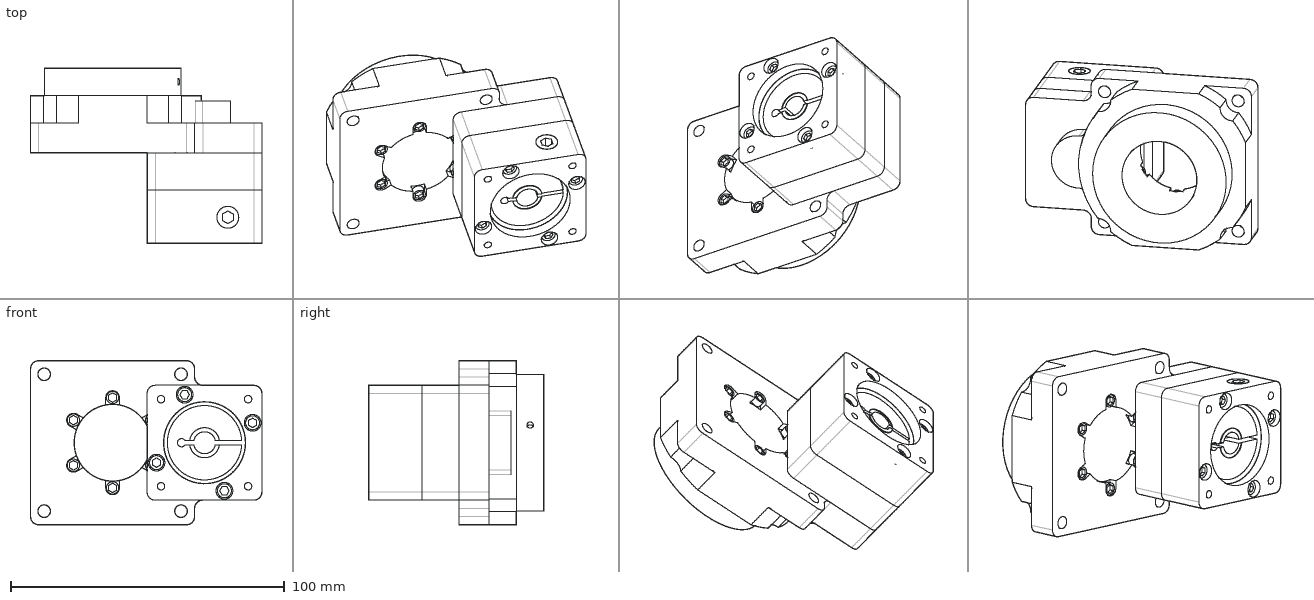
import cadquery as cq
import math


plate_size = 60.0
plate_thickness = 11.0
plate_half = plate_size / 2
corner_radius = 3.0
shoulder_radius = 32.5
shoulder_height = 10.0
table_radius = 25.0
table_height = 10.0
bore_radius = 14.0
shoulder_back = plate_thickness + shoulder_height
table_back = shoulder_back + table_height

mount_hole_offset = 25.0
mount_hole_diameter = 4.5
mount_relief_radius = 4.5

pin_hole_diameter = 2.3
pin_hole_depth = 4.0
pin_hole_angle = 15.0

motor_axis_x = 33.6
motor_size = 42.0
spacer_length = 13.5
clamp_length = 19.5
clamp_front = -(spacer_length + clamp_length)
gear_cover_x = 33.1
gear_cover_radius = 10.0
gear_cover_fillet = 2.5
gear_cover_height = 8.0

pilot_radius = 15.0
pilot_depth = 4.0
hub_bore_radius = 14.9
hub_radius = 13.6
hub_recess = 4.8
hub_gap_depth = 14.0
shaft_radius = 4.0
sleeve_radius = 5.5
sleeve_projection = 0.3
clamp_slot_width = 1.5
keyhole_radius = 1.5
keyhole_offset = 8.4

tap_circle_radius = 22.5
tap_start_angle = 45.0
tap_diameter = 2.7
tap_depth = 8.0
drill_tip_angle = 118.0

plug_offset = 8.5
plug_radius = 4.0
plug_recess = 0.1
plug_from_front = 9.5
plug_hex_flats = 4.0
plug_hex_depth = 4.0

table_screw_count = 6
table_screw_circle = 16.5
table_screw_start_angle = 90.0
table_screw_pocket_radius = 2.5
table_screw_pocket_depth = 3.0
table_screw_head_radius = 2.25
table_screw_head_height = 2.5
table_screw_hex_flats = 3.0
table_screw_hex_turn = 90.0

clamp_screw_count = 4
quarter_turn = 360 / clamp_screw_count
clamp_screw_circle = 19.0
clamp_screw_start_angle = 22.5
clamp_screw_pocket_radius = 3.05
clamp_screw_pocket_depth = 1.9
clamp_screw_head_radius = 2.55
clamp_screw_head_height = 3.0
clamp_screw_hex_flats = 3.0
socket_depth = 1.5


def face_at(y):
    """Sketch plane facing -Y, with local x along X and local y along Z."""
    return cq.Workplane("XZ", origin=(0, y, 0))


def disc(x, z, radius, front, depth):
    """Cylinder whose front face is at Y = front and that runs depth towards +Y."""
    return face_at(front).center(x, z).circle(radius).extrude(-depth)


def hex_socket(x, z, flats, front, depth, turn):
    """Hexagonal prism running towards +Y, turned about its axis by an angle in degrees."""
    corners = flats / math.cos(math.pi / 6)
    hexagon = face_at(front).center(x, z).polygon(6, corners).extrude(-depth)
    return hexagon.rotate((x, 0, z), (x, 1, z), turn)


def on_circle(radius, angle):
    """X and Z offsets of a point on a circle, the angle in degrees from +X towards +Z."""
    return radius * math.cos(math.radians(angle)), radius * math.sin(math.radians(angle))


def rounded_square_block(front, length):
    """Block with rounded corners centred on the motor axis."""
    block = face_at(front).center(motor_axis_x, 0).rect(motor_size, motor_size).extrude(-length)
    return block.edges("|Y").fillet(corner_radius)


def make_plate():
    """Square plate with an arm for the motor on its +X side."""
    square = face_at(0).rect(plate_size, plate_size).extrude(-plate_thickness)
    arm_end = motor_axis_x + motor_size / 2
    arm = face_at(0).center(arm_end / 2, 0).rect(arm_end, motor_size).extrude(-plate_thickness)
    plate = square.union(arm)
    return plate.edges("|Y").fillet(corner_radius)


def make_shoulder():
    """Round shoulder trimmed to the plate, with reliefs behind the mounting holes."""
    shoulder = disc(0, 0, shoulder_radius, plate_thickness, shoulder_height)
    trim_length = plate_half + shoulder_radius
    trim = (
        face_at(plate_thickness)
        .center(trim_length / 2 - plate_half, 0)
        .rect(trim_length, plate_size)
        .extrude(-shoulder_height)
    )
    reliefs = (
        face_at(plate_thickness)
        .rect(2 * mount_hole_offset, 2 * mount_hole_offset, forConstruction=True)
        .vertices()
        .circle(mount_relief_radius)
        .extrude(-shoulder_height)
    )
    return shoulder.intersect(trim).cut(reliefs)


def make_gear_cover():
    """Round cover behind the motor axis, blended into the shoulder by concave fillets."""
    core = disc(0, 0, shoulder_radius, plate_thickness, gear_cover_height)
    cover = disc(gear_cover_x, 0, gear_cover_radius, plate_thickness, gear_cover_height)
    joint = cq.selectors.BoxSelector(
        (table_radius, plate_thickness, -shoulder_radius),
        (gear_cover_x, shoulder_back, shoulder_radius),
    )
    blended = core.union(cover).edges("|Y").edges(joint).fillet(gear_cover_fillet)
    beside_table = (
        face_at(plate_thickness)
        .center(table_radius + plate_half, 0)
        .rect(plate_size, plate_half)
        .extrude(-gear_cover_height)
    )
    return blended.intersect(beside_table)


def cut_table_screw(body, angle):
    """Pocket that opens into the bore, with a socket-head screw standing in it."""
    x, z = on_circle(table_screw_circle, angle)
    width = 2 * table_screw_pocket_radius
    pocket = disc(table_screw_circle, 0, table_screw_pocket_radius, 0, table_screw_pocket_depth)
    mouth = (
        face_at(0)
        .center(table_screw_circle / 2, 0)
        .rect(table_screw_circle, width)
        .extrude(-table_screw_pocket_depth)
    )
    pocket = pocket.union(mouth).rotate((0, 0, 0), (0, 1, 0), -angle)
    head_front = table_screw_pocket_depth - table_screw_head_height
    head = disc(x, z, table_screw_head_radius, head_front, table_screw_head_height)
    socket = hex_socket(x, z, table_screw_hex_flats, head_front, socket_depth, table_screw_hex_turn)
    return body.cut(pocket.cut(head)).cut(socket)


def make_housing():
    """Housing with its hollow table, mounting holes, table screws and radial pin hole."""
    housing = make_plate().union(make_shoulder()).union(make_gear_cover())
    housing = housing.union(disc(0, 0, table_radius, shoulder_back, table_height))
    housing = housing.cut(disc(0, 0, bore_radius, 0, table_back))
    mount_holes = (
        face_at(0)
        .rect(2 * mount_hole_offset, 2 * mount_hole_offset, forConstruction=True)
        .vertices()
        .circle(mount_hole_diameter / 2)
        .extrude(-plate_thickness)
    )
    housing = housing.cut(mount_holes)
    for i in range(table_screw_count):
        housing = cut_table_screw(housing, table_screw_start_angle + i * 360 / table_screw_count)
    pin_hole = (
        cq.Workplane("YZ", origin=(table_radius - pin_hole_depth, shoulder_back + table_height / 2, 0))
        .circle(pin_hole_diameter / 2)
        .extrude(2 * pin_hole_depth)
        .rotate((0, 0, 0), (0, 1, 0), -pin_hole_angle)
    )
    return housing.cut(pin_hole)


def make_spacer():
    """Plain block between the housing arm and the clamp housing."""
    return rounded_square_block(-spacer_length, spacer_length)


def cut_hub(body):
    """Pilot recess with a slotted shaft clamp hub standing in it."""
    body = body.cut(disc(motor_axis_x, 0, pilot_radius, clamp_front, pilot_depth))
    hub_front = clamp_front + hub_recess
    bore = disc(motor_axis_x, 0, hub_bore_radius, clamp_front, hub_gap_depth)
    hub = disc(motor_axis_x, 0, hub_radius, hub_front, hub_gap_depth - hub_recess)
    body = body.cut(bore.cut(hub))
    sleeve_front = hub_front - sleeve_projection
    body = body.union(disc(motor_axis_x, 0, sleeve_radius, sleeve_front, sleeve_projection))
    hub_depth = hub_gap_depth - hub_recess + sleeve_projection
    body = body.cut(disc(motor_axis_x, 0, shaft_radius, sleeve_front, hub_depth))
    slot_length = keyhole_offset + hub_radius
    slot = (
        face_at(sleeve_front)
        .center(motor_axis_x + (hub_radius - keyhole_offset) / 2, 0)
        .rect(slot_length, clamp_slot_width)
        .extrude(-hub_depth)
    )
    keyhole = disc(motor_axis_x - keyhole_offset, 0, keyhole_radius, sleeve_front, hub_depth)
    return body.cut(slot).cut(keyhole)


def cut_clamp_screw(body, angle, hex_turn):
    """Counterbore with a socket-head screw standing in it."""
    dx, z = on_circle(clamp_screw_circle, angle)
    x = motor_axis_x + dx
    head_front = clamp_front + clamp_screw_pocket_depth
    depth = clamp_screw_pocket_depth + clamp_screw_head_height
    pocket = disc(x, z, clamp_screw_pocket_radius, clamp_front, depth)
    head = disc(x, z, clamp_screw_head_radius, head_front, clamp_screw_head_height)
    socket = hex_socket(x, z, clamp_screw_hex_flats, head_front, socket_depth, hex_turn)
    return body.cut(pocket.cut(head)).cut(socket)


def cut_tapped_hole(body, angle):
    """Blind hole with a conical drill tip."""
    dx, z = on_circle(tap_circle_radius, angle)
    radius = tap_diameter / 2
    tip_length = radius / math.tan(math.radians(drill_tip_angle / 2))
    profile = [(0, 0), (radius, 0), (radius, tap_depth), (0, tap_depth + tip_length)]
    hole = cq.Workplane("XY").polyline(profile).close().revolve(360, (0, 0, 0), (0, 1, 0))
    return body.cut(hole.translate((motor_axis_x + dx, clamp_front, z)))


def cut_clamp_plug(body):
    """Access plug in the top face, set slightly below it, with a hexagonal socket."""
    top = cq.Workplane(
        "XY", origin=(motor_axis_x + plug_offset, clamp_front + plug_from_front, motor_size / 2)
    )
    body = body.cut(top.circle(plug_radius).extrude(-plug_recess))
    corners = plug_hex_flats / math.cos(math.pi / 6)
    socket = top.transformed(rotate=(0, 0, 90)).polygon(6, corners).extrude(-plug_hex_depth)
    return body.cut(socket)


def make_clamp_housing():
    """Motor-side block with the shaft clamp, its screws, tapped holes and access plug."""
    clamp = cut_hub(rounded_square_block(clamp_front, clamp_length))
    for i in range(clamp_screw_count):
        clamp = cut_clamp_screw(clamp, clamp_screw_start_angle + i * quarter_turn, (i + 1) * quarter_turn)
        clamp = cut_tapped_hole(clamp, tap_start_angle + i * quarter_turn)
    return cut_clamp_plug(clamp)


housing = make_housing().solids()
spacer = make_spacer().solids()
clamp_housing = make_clamp_housing().solids()

result = cq.Compound.makeCompound([housing.val(), spacer.val(), clamp_housing.val()])